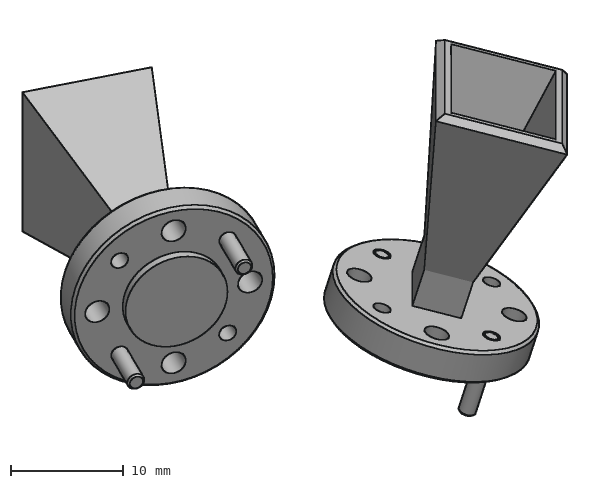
import cadquery as cq
import math


flange_diameter = 19.05
flange_thickness = 3.36
flange_chamfer = 0.27
boss_diameter = 9.53
boss_height = 0.79

bolt_circle_radius = 7.14
bolt_hole_diameter = 2.25
dowel_diameter = 1.59
bolt_hole_angles = (0, 90, 180, 270)
pin_angles = (45, 225)
open_dowel_angles = (135, 315)

pin_projection = 4.65
pin_chamfer = 0.18

neck_size = (4.51, 6.42)
rim_size = (12.1, 15.06)
mouth_face_size = (10.82, 13.8)
mouth_opening_size = (9.65, 12.8)
throat_size = (1.88, 3.76)
neck_length = 3.77
flare_length = 17.49
rim_bevel_length = 0.62

neck_start_x = -neck_length
mouth_x = neck_start_x - flare_length
rim_x = mouth_x + rim_bevel_length
flange_back_x = flange_thickness


def cylinder(diameter, start_x, length, y=0, z=0):
    """Round bar along +X starting at start_x."""
    return cq.Workplane("YZ", origin=(start_x, y, z)).circle(diameter / 2).extrude(length)


def tapered_block(start_x, start_size, end_x, end_size):
    """Straight-sided transition between two centred rectangles."""
    return (
        cq.Workplane("YZ", origin=(start_x, 0, 0))
        .rect(*start_size)
        .workplane(offset=end_x - start_x)
        .rect(*end_size)
        .loft(ruled=True)
    )


def bolt_circle_point(angle):
    """Y and Z of a place on the bolt circle, with the angle measured from +Y towards +Z."""
    angle_radians = math.radians(angle)
    return bolt_circle_radius * math.cos(angle_radians), bolt_circle_radius * math.sin(angle_radians)


def flange_hole(diameter, angle):
    """Cutter for a hole through the flange."""
    y, z = bolt_circle_point(angle)
    return cylinder(diameter, 0, flange_thickness, y, z)


def make_flange():
    """Chamfered disc with a raised boss and its bolt and dowel holes."""
    flange = cylinder(flange_diameter, 0, flange_thickness).edges().chamfer(flange_chamfer)
    flange = flange.union(cylinder(boss_diameter, flange_back_x, boss_height))
    for angle in bolt_hole_angles:
        flange = flange.cut(flange_hole(bolt_hole_diameter, angle))
    for angle in pin_angles + open_dowel_angles:
        flange = flange.cut(flange_hole(dowel_diameter, angle))
    return flange


def make_horn_antenna():
    """Flange, neck and flared horn in one piece, with a pyramidal cavity ending at the throat."""
    neck = cq.Workplane("YZ", origin=(neck_start_x, 0, 0)).rect(*neck_size).extrude(neck_length)
    flare = tapered_block(rim_x, rim_size, neck_start_x, neck_size)
    rim_bevel = tapered_block(mouth_x, mouth_face_size, rim_x, rim_size)
    cavity = tapered_block(mouth_x, mouth_opening_size, neck_start_x, throat_size)
    return make_flange().union(neck).union(flare).union(rim_bevel).cut(cavity)


def make_dowel_pin(angle):
    """Pin flush with the flange's horn-side face, chamfered at both ends."""
    y, z = bolt_circle_point(angle)
    pin = cylinder(dowel_diameter, 0, flange_thickness + pin_projection, y, z)
    return pin.edges("%CIRCLE").chamfer(pin_chamfer)


horn_antenna = make_horn_antenna()
dowel_pins = [make_dowel_pin(angle) for angle in pin_angles]

result = cq.Compound.makeCompound([horn_antenna.val(), *[pin.val() for pin in dowel_pins]])